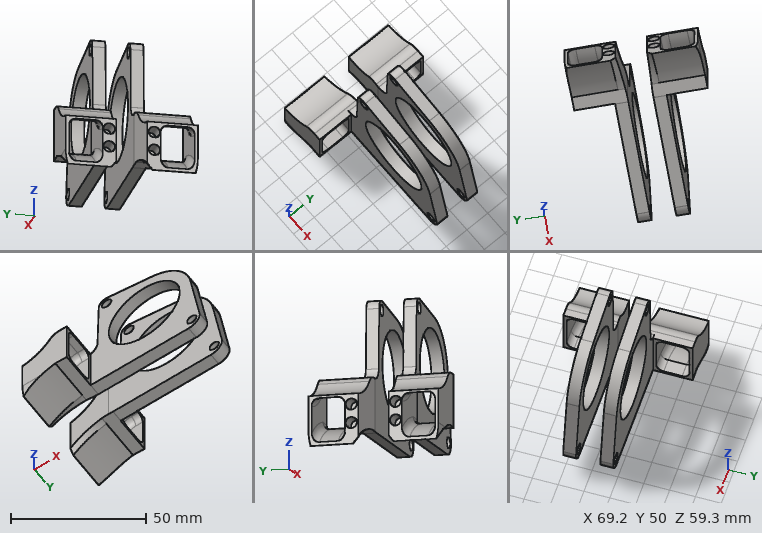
import cadquery as cq
import math


overall_width = 50.0
plate_inner_y = 4.7
plate_thickness = 5.0
outer_y = overall_width / 2

bore_center = (44.2, 27.4)
bore_diameter = 32.0
ring_radius = 21.05
bolt_diameter = 4.2
lug_center = (27.25, 47.7)
lug_radius = 3.6
bolt_centers = [lug_center, (65.7, 4.7)]
corner_radius = 5.0
plate_end_x = 69.2
neck_radius = 4.8

foot_length = 20.1
foot_top_z = 20.2
foot_mouth_top_z = 10.9
foot_tip_z = -8.0
top_flat_start_x = 16.9
neck_start_x = 18.35
inflection_x = 12.3
inflection_z = 18.0
sole_arc_end_x = 14.9
sole_arc_end_z = 0.3
sole_radius = 34.6

mouth_inner_y = 5.9
taper_end_x = 18.0
outer_round_start_z = -1.95
outer_round_inset = 0.8
inner_chamfer_width = 1.9
inner_chamfer_height = 2.3
chamfer_cut_margin = 2.1

roof_thickness = 1.0
sole_thickness = 1.05
tip_thickness = 1.4
pocket_inner_y = 10.9
pocket_outer_y = 23.75
pocket_corner_radius = 2.85
screw_diameter = 4.2
screw_y = 8.5
screw_heights = [0.0, 7.0]
screw_depth = 6.9


def on_circle(center, radius, angle):
    return (center[0] + radius * math.cos(angle), center[1] + radius * math.sin(angle))


def tangent_angle(start, end):
    """Normal angle of the line touching two (center, radius) rounds that an outline follows clockwise.

    A negative radius marks a concave round.
    """
    (start_center, start_radius), (end_center, end_radius) = start, end
    dx = end_center[0] - start_center[0]
    dz = end_center[1] - start_center[1]
    spread = math.acos((start_radius - end_radius) / math.hypot(dx, dz))
    return math.atan2(dz, dx) + spread


def extrude_y(outline, start_y, end_y):
    """Extrude an XZ outline from start_y to end_y."""
    return outline.extrude(start_y - end_y).translate((0, start_y, 0))


def make_plate():
    """Plate without its holes: the tangent hull of its rounds, with a concave neck above the foot."""
    neck_center = (neck_start_x, foot_top_z + neck_radius)
    corner_center = (plate_end_x - corner_radius, corner_radius)
    rounds = [
        (neck_center, -neck_radius),
        (lug_center, lug_radius),
        (bore_center, ring_radius),
        (corner_center, corner_radius),
    ]
    up = math.pi / 2
    normals = [tangent_angle(a, b) for a, b in zip(rounds, rounds[1:])]

    outline = cq.Workplane("XZ").moveTo(neck_start_x, foot_top_z)
    entry_normals = [up] + normals
    exit_normals = normals + [-up]
    for (center, radius), entry, leave in zip(rounds, entry_normals, exit_normals):
        start = on_circle(center, radius, entry)
        middle = on_circle(center, radius, (entry + leave) / 2)
        end = on_circle(center, radius, leave)
        if radius > 0:
            outline = outline.lineTo(*start)
        outline = outline.threePointArc(middle, end)
    outline = outline.lineTo(foot_length, 0).close()

    return extrude_y(outline, plate_inner_y, plate_inner_y + plate_thickness)


def make_foot_side(roof_drop=0.0, sole_lift=0.0, tip_lift=0.0):
    """Foot outline in XZ: an S-curve of two tangent arcs on top and a hollow arc underneath.

    The top edge can be lowered and the underside raised, which gives the outline of the pocket.
    """
    roof_z = foot_top_z - roof_drop
    inflection = (inflection_x, inflection_z - roof_drop)
    mouth_top = (0, foot_mouth_top_z - roof_drop)
    sole_arc_end = (sole_arc_end_x, sole_arc_end_z + sole_lift)
    return (
        cq.Workplane("XZ")
        .moveTo(foot_length, sole_lift)
        .lineTo(foot_length, roof_z)
        .lineTo(top_flat_start_x, roof_z)
        .tangentArcPoint(inflection, relative=False)
        .tangentArcPoint(mouth_top, relative=False)
        .lineTo(0, foot_tip_z + tip_lift)
        .radiusArc(sole_arc_end, sole_radius)
        .close()
    )


def make_foot_section():
    """Foot section in YZ with a rounded outer lower edge."""
    round_height = outer_round_start_z - foot_tip_z
    round_radius = (round_height**2 + outer_round_inset**2) / (2 * outer_round_inset)
    return (
        cq.Workplane("YZ")
        .moveTo(plate_inner_y, foot_top_z)
        .lineTo(outer_y, foot_top_z)
        .lineTo(outer_y, outer_round_start_z)
        .radiusArc((outer_y - outer_round_inset, foot_tip_z), round_radius)
        .lineTo(plate_inner_y, foot_tip_z)
        .close()
        .extrude(foot_length)
    )


def make_chamfer_cut():
    """Chamfer along the inner lower edge, largest at the mouth and fading out at the end of the sole arc."""
    chamfer_slope = inner_chamfer_height / inner_chamfer_width
    chamfer_end_y = mouth_inner_y + inner_chamfer_width
    chamfer_width_at_plate = chamfer_end_y - plate_inner_y
    cut_bottom_z = foot_tip_z - chamfer_cut_margin

    def region_below_arc(workplane, arc_start_z):
        return (
            workplane.moveTo(0, cut_bottom_z)
            .lineTo(0, arc_start_z)
            .radiusArc((sole_arc_end_x, sole_arc_end_z), sole_radius)
            .lineTo(sole_arc_end_x, cut_bottom_z)
            .close()
        )

    raised_z = foot_tip_z + chamfer_width_at_plate * chamfer_slope
    inner = region_below_arc(cq.Workplane("XZ", origin=(0, plate_inner_y, 0)), raised_z)
    both = region_below_arc(inner.workplane(offset=-chamfer_width_at_plate), foot_tip_z)
    return both.loft(ruled=True, combine=False)


def make_taper_cut():
    """Wedge that narrows the foot toward its mouth on the inner side."""
    return (
        cq.Workplane("XY")
        .moveTo(0, plate_inner_y)
        .lineTo(taper_end_x, plate_inner_y)
        .lineTo(0, mouth_inner_y)
        .close()
        .extrude(foot_top_z - foot_tip_z)
        .translate((0, 0, foot_tip_z))
    )


def make_pocket():
    """Passage with rounded corners that follows the foot outline and is open at both ends."""
    outline = make_foot_side(roof_thickness, sole_thickness, tip_thickness)
    passage = extrude_y(outline, pocket_inner_y, pocket_outer_y)
    long_edges = passage.faces("<Y or >Y").edges("not |Z")
    return long_edges.fillet(pocket_corner_radius)


def make_screw_holes():
    centers = [(screw_y, z) for z in screw_heights]
    return cq.Workplane("YZ").pushPoints(centers).circle(screw_diameter / 2).extrude(screw_depth)


def make_foot():
    side = extrude_y(make_foot_side(), plate_inner_y, outer_y)
    foot = side.intersect(make_foot_section())
    for cutter in (make_taper_cut(), make_chamfer_cut(), make_pocket(), make_screw_holes()):
        foot = foot.cut(cutter)
    return foot


def make_plate_holes():
    """Bore and bolt holes through the plate."""
    holes = cq.Workplane("XZ").pushPoints([bore_center]).circle(bore_diameter / 2)
    holes = holes.pushPoints(bolt_centers).circle(bolt_diameter / 2)
    return extrude_y(holes, plate_inner_y, plate_inner_y + plate_thickness)


def make_bracket():
    """Bracket on the +Y side, in one piece."""
    return make_plate().union(make_foot()).cut(make_plate_holes())


bracket = make_bracket()
opposite_bracket = bracket.mirror("XZ")
result = cq.Compound.makeCompound([bracket.val(), opposite_bracket.val()])